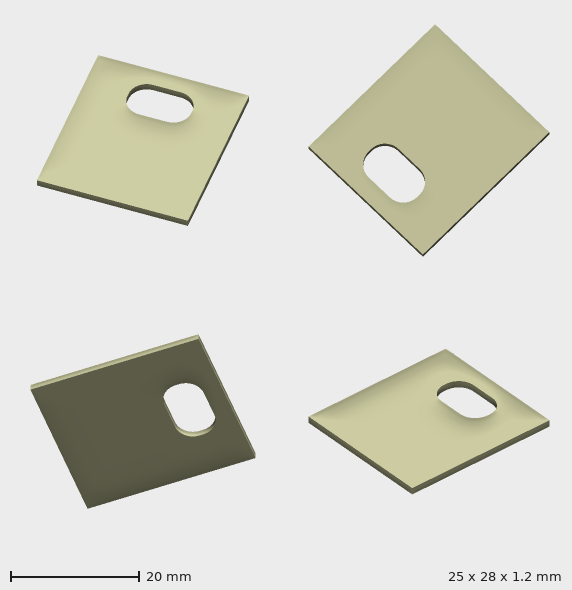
import cadquery as cq

plate_width = 25.0
plate_length = 28.0
plate_thickness = 1.2

window_width = 10.55
window_height = 6.55
window_corner_radius = 3.0
window_centre_to_top_edge = 6.27
window_centre_y = plate_length / 2 - window_centre_to_top_edge

plate = cq.Workplane("XY").box(plate_width, plate_length, plate_thickness)

window = (
    cq.Workplane("XY")
    .center(0, window_centre_y)
    .box(window_width, window_height, plate_thickness)
    .edges("|Z")
    .fillet(window_corner_radius)
)

result = plate.cut(window)